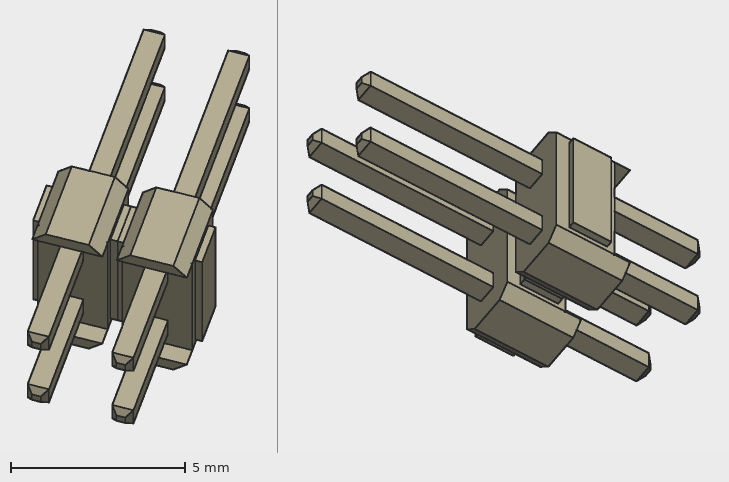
import cadquery as cq


pitch = 2.54
module_count = 2
pins_per_module = 2

block_width = 2.11
block_depth = 2.0
housing_height = 5.0
cap_height = 0.41
cap_bevel = 0.41
cap_depth = pitch
block_height = housing_height - 2 * cap_height

pad_setback = 0.44
pad_length = 1.3
pad_height = 3.82

pin_side = 0.64
pin_length = 11.64
pin_rear_reach = 6.1
tip_taper = 0.19


def extrude_forward(sketch, rear_y, length):
    """Extrude an outline in the XZ plane toward -Y, starting at rear_y."""
    return sketch.extrude(length).translate((0, rear_y, 0))


def make_block():
    outline = cq.Workplane("XZ").rect(block_width, block_height)
    return extrude_forward(outline, 0, block_depth)


def make_top_cap():
    """Trapezoidal cap, as wide as the block at its base."""
    base_z = block_height / 2
    top_z = housing_height / 2
    base_x = block_width / 2
    top_x = base_x - cap_bevel
    outline = (
        cq.Workplane("XZ")
        .moveTo(-base_x, base_z)
        .lineTo(base_x, base_z)
        .lineTo(top_x, top_z)
        .lineTo(-top_x, top_z)
        .close()
    )
    return extrude_forward(outline, 0, cap_depth)


def make_side_pads():
    """Single slab through the block that stands out as a pad on each side."""
    outline = cq.Workplane("XZ").rect(pitch, pad_height)
    return extrude_forward(outline, -pad_setback, pad_length)


def make_pin(center_z):
    """Square pin with a tapered tip at both ends."""
    outline = cq.Workplane("XZ").center(0, center_z).rect(pin_side, pin_side)
    pin = extrude_forward(outline, pin_rear_reach, pin_length)
    return pin.faces("<Y or >Y").chamfer(tip_taper)


def make_module(center_x):
    """One housing with its column of pins, as a single solid."""
    top_cap = make_top_cap()
    module = make_block().union(top_cap).union(top_cap.mirror("XY")).union(make_side_pads())
    for index in range(pins_per_module):
        pin_z = (index - (pins_per_module - 1) / 2) * pitch
        module = module.union(make_pin(pin_z))
    return module.translate((center_x, 0, 0))


modules = []
for index in range(module_count):
    module_x = (index - (module_count - 1) / 2) * pitch
    modules.append(make_module(module_x).solids().val())

result = cq.Compound.makeCompound(modules)